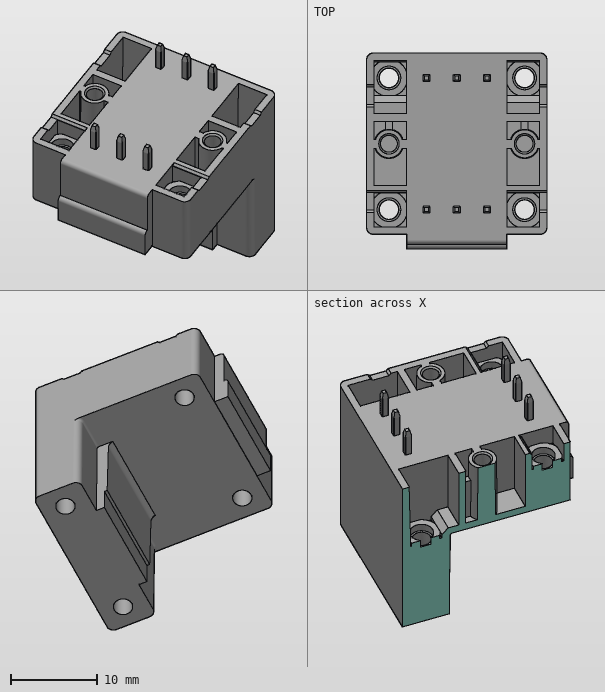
import cadquery as cq

WIDTH = 20.9
BODY_DEPTH = 21.0
HEIGHT = 25.4
BACK_Y = 10.52
FRONT_Y = BACK_Y - BODY_DEPTH
CORNER_RADIUS = 0.81

PIN_HEIGHT = 3.5
TOP_Z = HEIGHT - PIN_HEIGHT
HEAD_BOTTOM_Z = 12.65
LEG_FRONT_Y_TOP = 4.52
LEG_FRONT_Y_FOOT = 4.62
LEG_ROOT_RADIUS = 0.25

COLUMN_WIDTH = 11.58
COLUMN_UNDERSIDE_Z = 12.75
NOSE_Y = -12.2
NOSE_UPPER_Y = -11.65
NOSE_STEP_Z = 16.3
NOSE_RADIUS = 0.5
PAD_FRONT_Y_TOP = 3.07
PAD_FRONT_Y_LOW = 3.25
PAD_STEP_Z = 3.23
PAD_FOOT_Y = 3.6
PAD_ROOT_RADIUS = 1.0

WALL = 0.9
POCKET_OUTER_X = WIDTH / 2 - WALL
POCKET_INNER_X = COLUMN_WIDTH / 2
POCKET_FLOOR_Z = 13.72
POCKET_END_Y = 9.65
SCREW_POCKET_BACK_Y = -5.72

REAR_POCKET_FRONT_Y = 3.48
RAMP_TOP_Y = 4.8
RAMP_FOOT_Y = 5.6
RAMP_DROP = 0.8
REAR_WALL_DRAFT = 0.2

HOLE_X = 7.85
HOLE_Y = 7.62
HOLE_DIAMETER = 2.24
HOLE_BORE_DIAMETER = 2.75
HOLE_BORE_DEPTH = 1.02
SEAT_DIAMETER = 4.32
FRONT_SEAT_Z = 19.68
SEAT_HEIGHT = 0.5

SOCKET_DIAMETER = 3.25
SOCKET_BORE = 1.95
SOCKET_DEPTH = 5.08
SOCKET_CHAMFER = 0.2
SOCKET_DRAFT = 0.5
SOCKET_WEB = 1.05
SOCKET_RIB = 0.8
SOCKET_RIB_DROP = 2.55
SOCKET_POCKET_BACK_Y = 2.6
SOCKET_POCKET_FRONT_Y = -4.83

NOTCH_DEPTH = 0.28
NOTCHES = [(6.85, 4.27), (-5.38, -7.95)]

PIN_PITCH = 3.5
PIN_SIZE = 0.81
PIN_EDGE = 0.08
PIN_TAPER_HEIGHT = 0.8
PIN_TAPER_INSET = 0.18


def box(x0, x1, y0, y1, z0, z1):
    """Axis-aligned box between two opposite corners."""
    return cq.Workplane("XY").box(x1 - x0, y1 - y0, z1 - z0, centered=False).translate((x0, y0, z0))


def prism(points, x0, x1):
    """Straight prism along X with a (Y, Z) outline."""
    return cq.Workplane("YZ").workplane(offset=x0).polyline(points).close().extrude(x1 - x0)


def cylinder(diameter, x, y, z0, z1):
    """Upright cylinder."""
    return cq.Workplane("XY", origin=(x, y, z0)).circle(diameter / 2).extrude(z1 - z0)


def shell_body():
    """Head and leg, rounded at the corners and at the root of the leg."""
    leg = prism(
        [
            (BACK_Y, 0),
            (LEG_FRONT_Y_FOOT, 0),
            (LEG_FRONT_Y_TOP, HEAD_BOTTOM_Z),
            (BACK_Y, HEAD_BOTTOM_Z),
        ],
        -WIDTH / 2,
        WIDTH / 2,
    )
    leg = leg.faces("<Y").edges("<X or >X").fillet(CORNER_RADIUS)
    margin = 2 * LEG_ROOT_RADIUS
    head = box(
        -WIDTH / 2 - margin, WIDTH / 2 + margin, FRONT_Y, BACK_Y, HEAD_BOTTOM_Z, TOP_Z
    )
    root = cq.selectors.BoxSelector(
        (-WIDTH, LEG_FRONT_Y_TOP - margin, HEAD_BOTTOM_Z - margin),
        (WIDTH, BACK_Y - margin, HEAD_BOTTOM_Z + margin),
    )
    body = head.union(leg)
    body = body.edges(root).fillet(LEG_ROOT_RADIUS)
    outline = box(-WIDTH / 2, WIDTH / 2, FRONT_Y, BACK_Y, 0, TOP_Z)
    return body.intersect(outline.edges("|Z").fillet(CORNER_RADIUS))


def central_column():
    """Nose, middle of the head and pad of the leg in one profile."""
    rear_y = BACK_Y - CORNER_RADIUS
    column = prism(
        [
            (rear_y, 0),
            (PAD_FOOT_Y, 0),
            (PAD_FOOT_Y, PAD_STEP_Z),
            (PAD_FRONT_Y_LOW, PAD_STEP_Z),
            (PAD_FRONT_Y_TOP, COLUMN_UNDERSIDE_Z),
            (NOSE_Y, COLUMN_UNDERSIDE_Z),
            (NOSE_Y, NOSE_STEP_Z),
            (NOSE_UPPER_Y, NOSE_STEP_Z),
            (NOSE_UPPER_Y, TOP_Z),
            (rear_y, TOP_Z),
        ],
        -COLUMN_WIDTH / 2,
        COLUMN_WIDTH / 2,
    )

    def edge_at(y, z):
        return cq.selectors.NearestToPointSelector((0, y, z))

    column = column.edges(edge_at(PAD_FRONT_Y_TOP, COLUMN_UNDERSIDE_Z)).fillet(PAD_ROOT_RADIUS)
    column = column.edges(edge_at(NOSE_Y, NOSE_STEP_Z)).fillet(NOSE_RADIUS)
    return column.edges(edge_at(NOSE_UPPER_Y, TOP_Z)).fillet(NOSE_RADIUS)


def side_notch(back_y, front_y):
    """Cutter with 45 degree ends across the right-hand side strip."""
    return prism(
        [
            (back_y, TOP_Z),
            (back_y - NOTCH_DEPTH, TOP_Z - NOTCH_DEPTH),
            (front_y + NOTCH_DEPTH, TOP_Z - NOTCH_DEPTH),
            (front_y, TOP_Z),
        ],
        POCKET_INNER_X,
        WIDTH / 2,
    )


def screw_hole(y, seat_z):
    """Through hole with a wider bore sunk into its seat."""
    bore = cylinder(HOLE_BORE_DIAMETER, HOLE_X, y, seat_z - HOLE_BORE_DEPTH, seat_z)
    return cylinder(HOLE_DIAMETER, HOLE_X, y, 0, TOP_Z).union(bore)


def front_pocket():
    """Shallow pocket whose floor carries a raised round seat."""
    floor_z = FRONT_SEAT_Z - SEAT_HEIGHT
    pocket = box(
        POCKET_INNER_X, POCKET_OUTER_X, -POCKET_END_Y, SCREW_POCKET_BACK_Y, floor_z, TOP_Z
    )
    pocket = pocket.cut(cylinder(SEAT_DIAMETER, HOLE_X, -HOLE_Y, floor_z, FRONT_SEAT_Z))
    return pocket.union(screw_hole(-HOLE_Y, FRONT_SEAT_Z))


def rear_pocket():
    """Deep pocket with a ramp from its shelf down to the seat in the leg."""
    seat_z = POCKET_FLOOR_Z - RAMP_DROP
    floor_z = seat_z - SEAT_HEIGHT
    pocket = prism(
        [
            (REAR_POCKET_FRONT_Y, TOP_Z),
            (REAR_POCKET_FRONT_Y, POCKET_FLOOR_Z),
            (RAMP_TOP_Y, POCKET_FLOOR_Z),
            (RAMP_FOOT_Y, seat_z),
            (RAMP_FOOT_Y, floor_z),
            (POCKET_END_Y - REAR_WALL_DRAFT, floor_z),
            (POCKET_END_Y, TOP_Z),
        ],
        POCKET_INNER_X,
        POCKET_OUTER_X,
    )
    pocket = pocket.cut(cylinder(SEAT_DIAMETER, HOLE_X, HOLE_Y, floor_z, seat_z))
    return pocket.union(screw_hole(HOLE_Y, seat_z))


def socket_pocket():
    """Pocket around the round socket, leaving the socket, its webs and its rib."""
    pocket = box(
        POCKET_INNER_X,
        POCKET_OUTER_X,
        SOCKET_POCKET_FRONT_Y,
        SOCKET_POCKET_BACK_Y,
        POCKET_FLOOR_Z,
        TOP_Z,
    )
    socket = (
        cq.Workplane("XY", origin=(HOLE_X, 0, TOP_Z))
        .circle(SOCKET_DIAMETER / 2)
        .extrude(POCKET_FLOOR_Z - TOP_Z, taper=-SOCKET_DRAFT)
    )
    web = box(
        POCKET_INNER_X, POCKET_OUTER_X, -SOCKET_WEB / 2, SOCKET_WEB / 2, POCKET_FLOOR_Z, TOP_Z
    )
    rib = box(
        HOLE_X - SOCKET_RIB / 2,
        HOLE_X + SOCKET_RIB / 2,
        0,
        SOCKET_POCKET_BACK_Y,
        POCKET_FLOOR_Z,
        TOP_Z - SOCKET_RIB_DROP,
    )
    return pocket.cut(socket).cut(web).cut(rib)


def socket_bore():
    """Blind hole with a countersunk mouth, as a turned profile."""
    radius = SOCKET_BORE / 2
    profile = cq.Workplane("XZ").polyline(
        [
            (0, TOP_Z - SOCKET_DEPTH),
            (radius, TOP_Z - SOCKET_DEPTH),
            (radius, TOP_Z - SOCKET_CHAMFER),
            (radius + SOCKET_CHAMFER, TOP_Z),
            (0, TOP_Z),
        ]
    )
    return profile.close().revolve(360, (0, 0, 0), (0, 1, 0)).translate((HOLE_X, 0, 0))


def pin(x, y):
    """Square pin with bevelled long edges and a tapered tip."""
    bar = cq.Workplane("XY").rect(PIN_SIZE, PIN_SIZE).extrude(PIN_HEIGHT)
    tapered = bar.faces(">Z").chamfer(PIN_TAPER_HEIGHT, PIN_TAPER_INSET)
    bevelled = bar.edges("|Z").chamfer(PIN_EDGE)
    return tapered.intersect(bevelled).translate((x, y, TOP_Z))


result = shell_body().union(central_column())

side_cut = front_pocket().union(rear_pocket()).union(socket_pocket()).union(socket_bore())
for back_y, front_y in NOTCHES:
    side_cut = side_cut.union(side_notch(back_y, front_y))
result = result.cut(side_cut).cut(side_cut.mirror("YZ"))

for row_y in (-HOLE_Y, HOLE_Y):
    for place in (-1, 0, 1):
        result = result.union(pin(place * PIN_PITCH, row_y))